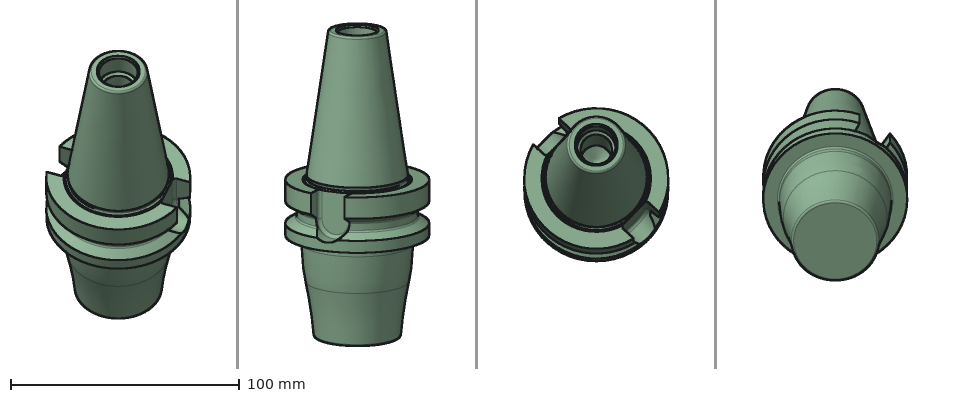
import cadquery as cq
import math


gauge_diameter = 44.45
gauge_radius = gauge_diameter / 2
taper_length = 65.4
taper_ratio = 7 / 24
shank_end_radius = gauge_radius - taper_length * taper_ratio / 2
end_fillet = 1.0

neck_radius = 22.0
neck_chamfer_length = 0.8
relief_depth = 0.4
relief_floor_radius = 23.05
relief_outer_radius = 23.9
relief_fillet = 0.8

flange_radius = 31.5
flange_top = -2.0
flange_bottom = -27.0
groove_center = -16.6
groove_width = 10.0
groove_floor_radius = 26.5
groove_slope = math.radians(30)
groove_fillet = 1.0

nose_radius = 24.5
nose_fillet = 0.8
nose_cylinder_end = -30.6
nose_waist_radius = 22.7
nose_waist = -47.6
nose_end_radius = 19.1
nose_bottom = -72.5

slot_width = 16.1
slot_floor_distance = 22.6
slot_arc_center = -15.1
slot_fillet = 1.6
slot_clearance = 5.0

bore_radius = 8.5
bore_depth = 9.2
bore_chamfer = 0.85
core_radius = 6.85
core_depth = 32.0
sink_half_angle = math.radians(60)
drill_half_angle = math.radians(59)


def make_body():
    """Revolved shank, neck, flange and nose without the V-groove."""
    relief_floor = flange_top - relief_depth
    relief_fillet_top = relief_floor + relief_fillet
    midpoint_inset = 1 - math.sqrt(0.5)
    relief_inset = relief_fillet * midpoint_inset
    nose_inset = nose_fillet * midpoint_inset

    profile = (
        cq.Workplane("XZ")
        .moveTo(0, taper_length)
        .lineTo(shank_end_radius, taper_length)
        .lineTo(gauge_radius, 0)
        .lineTo(neck_radius, -neck_chamfer_length)
        .lineTo(neck_radius, relief_fillet_top)
        .threePointArc(
            (neck_radius + relief_inset, relief_floor + relief_inset),
            (neck_radius + relief_fillet, relief_floor),
        )
        .lineTo(relief_floor_radius, relief_floor)
        .lineTo(relief_outer_radius, flange_top)
        .lineTo(flange_radius, flange_top)
        .lineTo(flange_radius, flange_bottom)
        .lineTo(nose_radius + nose_fillet, flange_bottom)
        .threePointArc(
            (nose_radius + nose_inset, flange_bottom - nose_inset),
            (nose_radius, flange_bottom - nose_fillet),
        )
        .lineTo(nose_radius, nose_cylinder_end)
        .tangentArcPoint((nose_waist_radius, nose_waist), relative=False)
        .tangentArcPoint((nose_end_radius, nose_bottom), relative=False)
        .lineTo(0, nose_bottom)
        .close()
    )
    body = profile.revolve(360, (0, 0, 0), (0, 1, 0))
    return body.faces(">Z or <Z").edges().fillet(end_fillet)


def make_groove():
    """Ring cutter for the V-groove, with rounded floor corners."""
    flank_height = (flange_radius - groove_floor_radius) * math.tan(groove_slope)
    half_width = groove_width / 2
    half_floor = half_width - flank_height
    outer_radius = flange_radius + groove_fillet
    half_outer = half_width + groove_fillet * math.tan(groove_slope)
    ring = (
        cq.Workplane("XZ")
        .moveTo(groove_floor_radius, groove_center + half_floor)
        .lineTo(outer_radius, groove_center + half_outer)
        .lineTo(outer_radius, groove_center - half_outer)
        .lineTo(groove_floor_radius, groove_center - half_floor)
        .close()
        .revolve(360, (0, 0, 0), (0, 1, 0))
    )
    return ring.edges(cq.selectors.RadiusNthSelector(0)).fillet(groove_fillet)


def make_slot():
    """Cutter for the +X drive slot: round lower end, filleted floor corners."""
    half_width = slot_width / 2
    length = flange_radius + slot_clearance - slot_floor_distance
    slot = (
        cq.Workplane("YZ", origin=(slot_floor_distance, 0, 0))
        .moveTo(-half_width, flange_top + slot_clearance)
        .lineTo(-half_width, slot_arc_center)
        .threePointArc((0, slot_arc_center - half_width), (half_width, slot_arc_center))
        .lineTo(half_width, flange_top + slot_clearance)
        .close()
        .extrude(length)
    )
    return slot.faces("<X").edges("not >Z").fillet(slot_fillet)


def make_bore():
    """Cutter for the chamfered counterbore, countersunk core hole and drill point."""
    bore_floor = taper_length - bore_depth
    sink_height = (bore_radius - core_radius) / math.tan(sink_half_angle)
    core_floor = taper_length - core_depth
    point_height = core_radius / math.tan(drill_half_angle)
    return (
        cq.Workplane("XZ")
        .moveTo(0, taper_length)
        .lineTo(bore_radius + bore_chamfer, taper_length)
        .lineTo(bore_radius, taper_length - bore_chamfer)
        .lineTo(bore_radius, bore_floor)
        .lineTo(core_radius, bore_floor - sink_height)
        .lineTo(core_radius, core_floor)
        .lineTo(0, core_floor - point_height)
        .close()
        .revolve(360, (0, 0, 0), (0, 1, 0))
    )


result = make_body().cut(make_groove()).cut(make_bore())
for angle in (0, 180):
    result = result.cut(make_slot().rotate((0, 0, 0), (0, 0, 1), angle))